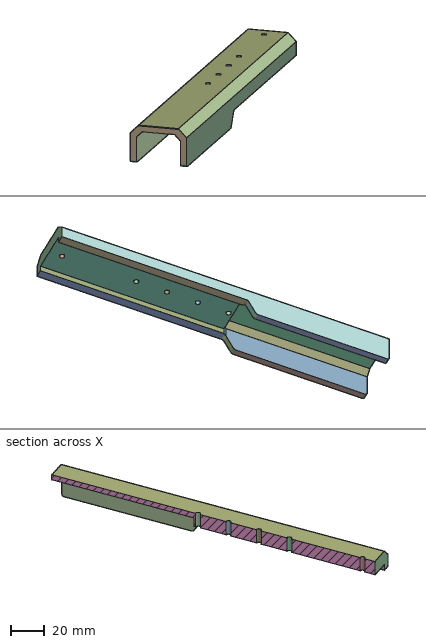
import cadquery as cq
import math

length = 213.0
width = 35.0
height = 23.2
wall = 3.8
outer_bevel = 5.1
inner_bevel = 3.6

rear_height = 13.6
step_y = 92.0
step_angle = 60.0
step_radius = 2.0
front_corner_radius = 1.7
top_edge_chamfer = 0.5

pad_depth = 9.5
groove_width = 25.1
taper_length = 1.7

hole_diameter = 3.0
end_hole_y = 204.7
row_start_y = 96.5
hole_pitch = 20.0
row_count = 4


def channel_outline(half_width, top, bevel):
    """Flat-topped outline with bevelled shoulders, open to the base plane."""
    return [
        (-half_width, 0),
        (-half_width, top - bevel),
        (-half_width + bevel, top),
        (half_width - bevel, top),
        (half_width, top - bevel),
        (half_width, 0),
    ]


def extrude_back(points, depth):
    """Extrude an XZ outline from the front end (y = 0) towards +Y."""
    return cq.Workplane("XZ").polyline(points).close().extrude(-depth)


outer = extrude_back(channel_outline(width / 2, height, outer_bevel), length)
outer = outer.faces("<Y").edges(">Z").chamfer(top_edge_chamfer)

cavity_half = width / 2 - wall
groove_half = groove_width / 2
pad_y = step_y + taper_length
hollow_plan = (
    cq.Workplane("XY")
    .polyline([
        (-cavity_half, 0),
        (-cavity_half, step_y),
        (-groove_half, pad_y),
        (-groove_half, length),
        (groove_half, length),
        (groove_half, pad_y),
        (cavity_half, step_y),
        (cavity_half, 0),
    ])
    .close()
    .extrude(height)
)

cavity = extrude_back(channel_outline(cavity_half, height - wall, inner_bevel), pad_y)
groove = (
    cq.Workplane("XY", origin=(0, pad_y, 0))
    .box(groove_width, length - pad_y, height - pad_depth, centered=(True, False, False))
)
hollow = cavity.union(groove).intersect(hollow_plan)

rear_bottom = height - rear_height
slope_run = rear_bottom / math.tan(math.radians(step_angle))
side_profile = (
    cq.Workplane("YZ")
    .polyline([
        (0, 0),
        (step_y - slope_run, 0),
        (step_y, rear_bottom),
        (length, rear_bottom),
        (length, height),
        (0, height),
    ])
    .close()
    .extrude(width / 2, both=True)
)
side_profile = (
    side_profile
    .edges(cq.selectors.NearestToPointSelector((0, step_y - slope_run, 0)))
    .fillet(step_radius)
    .edges(cq.selectors.NearestToPointSelector((0, step_y, rear_bottom)))
    .fillet(step_radius)
)
side_profile = side_profile.faces("<Y").edges("<Z").fillet(front_corner_radius)

hole_places = [(0, end_hole_y)] + [(0, row_start_y + i * hole_pitch) for i in range(row_count)]
holes = cq.Workplane("XY").pushPoints(hole_places).circle(hole_diameter / 2).extrude(height)

result = outer.cut(hollow).intersect(side_profile).cut(holes)